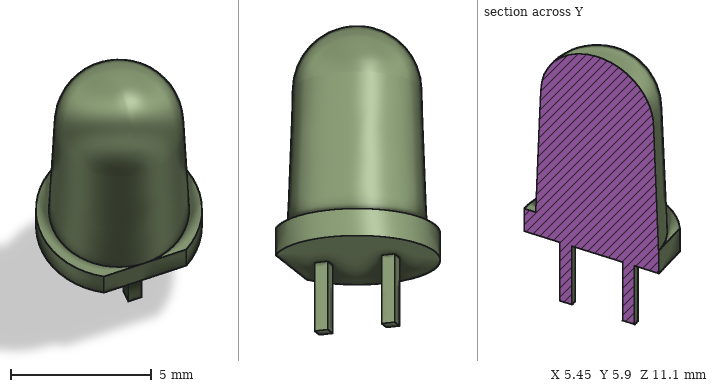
import cadquery as cq

total_height = 11.14
flange_radius = 2.95
flange_height = 1.0
body_base_radius = 2.5
dome_radius = 2.3
lead_length = 2.54
lead_width = 0.5
lead_pitch = 2.54

dome_base = total_height - lead_length - dome_radius
dome_top = dome_base + dome_radius
flat_offset = body_base_radius


def make_flange():
    """Round flange with one flat on the +X side."""
    disc = cq.Workplane("XY").circle(flange_radius).extrude(flange_height)
    keep_length = flange_radius + flat_offset
    keep = (
        cq.Workplane("XY")
        .center(flat_offset - keep_length / 2, 0)
        .rect(keep_length, 2 * flange_radius)
        .extrude(flange_height)
    )
    return disc.intersect(keep)


def make_lens():
    """Tapered body with a hemispherical dome, revolved about Z."""
    arc_step = dome_radius * 0.5**0.5
    return (
        cq.Workplane("XZ")
        .moveTo(0, flange_height)
        .lineTo(body_base_radius, flange_height)
        .lineTo(dome_radius, dome_base)
        .threePointArc((arc_step, dome_base + arc_step), (0, dome_top))
        .close()
        .revolve(360, (0, 0, 0), (0, 1, 0))
    )


def make_leads():
    """Two square leads, side by side along X, below the flange."""
    return (
        cq.Workplane("XY")
        .rarray(lead_pitch, 0.11, 2, 1)
        .rect(lead_width, lead_width)
        .extrude(-lead_length)
    )


result = make_flange().union(make_lens()).union(make_leads())